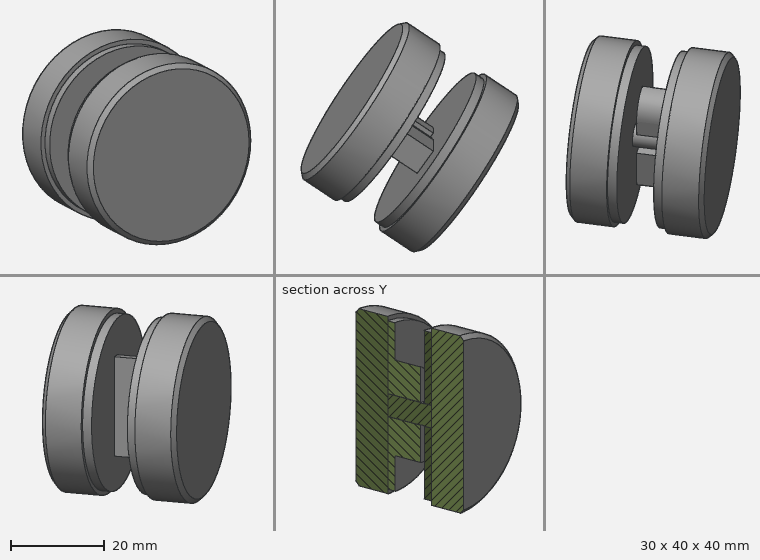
import cadquery as cq

cap_diameter = 40.0
cap_thickness = 9.0
cap_chamfer = 1.0
gasket_diameter = 38.0
gasket_thickness = 2.0
gap_width = 8.0
pin_diameter = 5.0
lug_clearance = 1.0
lug_depth = 6.0
lug_height = 22.0
lug_corner_radius = 5.0

gasket_inner_x = gap_width / 2
cap_inner_x = gasket_inner_x + gasket_thickness
lug_length = gap_width - lug_clearance


def disc(start_x, diameter, length):
    """Cylinder on the X axis, growing toward +X from start_x."""
    return cq.Workplane("YZ", origin=(start_x, 0, 0)).circle(diameter / 2).extrude(length)


def make_cap(side):
    """Outer cap with a chamfered outer rim; side is -1 for left, +1 for right."""
    start_x = cap_inner_x if side > 0 else -cap_inner_x - cap_thickness
    outer_face = ">X" if side > 0 else "<X"
    return disc(start_x, cap_diameter, cap_thickness).faces(outer_face).edges().chamfer(cap_chamfer)


def make_plain_gasket():
    """Left gasket: a ring with a hole for the pin."""
    ring = disc(-cap_inner_x, gasket_diameter, gasket_thickness)
    return ring.cut(make_pin()).solids()


def make_lug():
    """Block with one rounded corner and a round-bottomed slot, open toward -Y, around the pin."""
    lug = (
        cq.Workplane("XY")
        .box(lug_length, lug_depth, lug_height)
        .translate((gasket_inner_x - lug_length / 2, 0, 0))
        .edges("|X")
        .edges("<Y").edges(">Z")
        .fillet(lug_corner_radius)
    )
    slot_mouth = (
        cq.Workplane("XY")
        .box(gap_width, lug_depth / 2, pin_diameter)
        .translate((0, -lug_depth / 4, 0))
    )
    return lug.cut(slot_mouth).cut(make_pin())


def make_lugged_gasket():
    """Right gasket: a ring with a hole for the pin and the lug on its inner face."""
    ring = disc(gasket_inner_x, gasket_diameter, gasket_thickness).cut(make_pin())
    return ring.union(make_lug()).solids()


def make_pin():
    """Pin through both gaskets, ending on the inner faces of the caps."""
    return disc(-cap_inner_x, pin_diameter, 2 * cap_inner_x)


caps = [make_cap(side).val() for side in (-1, 1)]
plain_gasket = make_plain_gasket()
lugged_gasket = make_lugged_gasket()
pin = make_pin()

result = cq.Compound.makeCompound([*caps, plain_gasket.val(), lugged_gasket.val(), pin.val()])